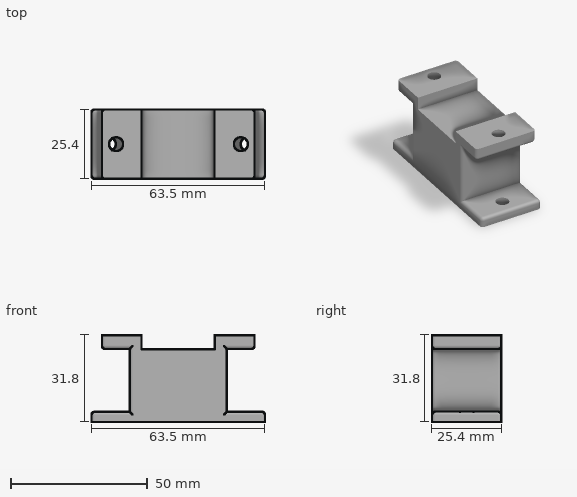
import cadquery as cq

base_length = 63.5
depth = 25.4
height = 31.75

base_thickness = 3.81
web_length = 35.56
upper_length = 55.88
upper_thickness = 5.08

channel_width = 26.67
channel_depth = 5.08

hole_diameter = 5.08
base_hole_positions = (-25.4, 25.4)
upper_hole_positions = (-22.68, 22.86)

edge_radius = 1.27

recess_floor = base_thickness
recess_ceiling = height - upper_thickness

tolerance = 0.01


def make_body():
    """I-shaped bar with a square channel across its top, centred on the Z axis."""
    right_half_outline = [
        (0, 0),
        (base_length / 2, 0),
        (base_length / 2, recess_floor),
        (web_length / 2, recess_floor),
        (web_length / 2, recess_ceiling),
        (upper_length / 2, recess_ceiling),
        (upper_length / 2, height),
        (channel_width / 2, height),
        (channel_width / 2, height - channel_depth),
        (0, height - channel_depth),
    ]
    return (
        cq.Workplane("XZ")
        .polyline(right_half_outline)
        .mirrorY()
        .extrude(depth / 2, both=True)
    )


def is_rounded(edge):
    """True for the outward edges around the two side recesses and flange ends."""
    center = edge.Center()
    web_distance = abs(center.x) - web_length / 2
    inside_web = web_distance < -tolerance
    on_bottom_or_top = center.z < tolerance or center.z > height - tolerance
    on_mid_depth = abs(center.y) < tolerance
    inner_corner = on_mid_depth and abs(web_distance) < tolerance
    return not (inside_web or on_bottom_or_top or inner_corner)


def round_edges(body):
    rounded_edges = [edge for edge in body.edges().vals() if is_rounded(edge)]
    return body.newObject(rounded_edges).fillet(edge_radius)


def hole_pair(x_positions, bottom, top):
    """Two vertical hole cutters through one flange level."""
    return (
        cq.Workplane("XY")
        .workplane(offset=bottom)
        .pushPoints([(x, 0) for x in x_positions])
        .circle(hole_diameter / 2)
        .extrude(top - bottom)
    )


base_holes = hole_pair(base_hole_positions, 0, recess_floor)
upper_holes = hole_pair(upper_hole_positions, recess_ceiling, height)

result = round_edges(make_body()).cut(base_holes).cut(upper_holes)